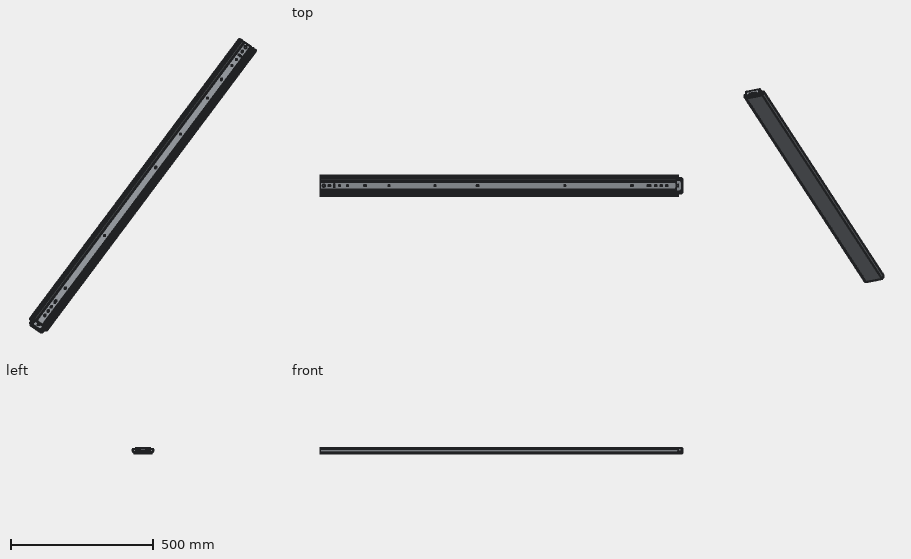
import cadquery as cq
import math


total_length = 1269.04
total_width = 74.0
total_height = 20.54
sheet = 2.2

outer_length = 1253.0
outer_half_width = total_width / 2
outer_bulge_radius = 10.7
outer_bulge_thickness = 3.0
outer_bulge_height = 12.0
outer_bulge_top = 16.0
outer_height = 17.5
outer_shoulder = 34.0
outer_lip_edge = 29.0
outer_groove_bottom = 5.0

middle_length = 1264.0
middle_bottom = 4.0
middle_web_thickness = 2.5
middle_web_top = middle_bottom + middle_web_thickness
middle_foot_half_width = 28.0
middle_foot_top = 8.0
middle_wall_foot = 17.5
middle_wall_rim = 23.5
middle_rim_edge = 25.8
middle_waist = 24.5

inner_length = 1245.5
inner_half_width = 15.0
inner_bottom = 10.0
inner_top = 18.5
inner_bend_radius = 2.5
inner_lip_edge = 9.5

hole_diameter = 5.2
large_hole_diameter = 9.4
large_hole_position = 12.6
cross_slot_position = 49.0
cross_slot_length = 12.0
cross_slot_width = 3.5
slot_length = 8.0
long_slot_length = 12.0
long_slot_position = 1151.0
round_hole_positions = [68.0, 95.0, 241.0, 402.0, 856.0]
slot_positions = [32.0, 157.0, 551.0, 1091.0, 1174.5, 1193.5, 1213.0]

web_hole_diameter = 8.0
web_hole_position = 1249.5

cap_half_width = 26.0
cap_chamfer = 3.0
cap_insert_start = 1246.0
cap_insert_top = 18.0
cap_floor_top = 10.4
cap_opening_half_width = 19.8
cap_opening_end = 1265.6
cap_opening_radius = 10.0


def extrude_profile(half_profile, length):
    """Mirror a half profile, drawn on the +Y side, and extrude it along X."""
    half = half_profile.close().extrude(length)
    return half.union(half.mirror("XZ")).clean()


def block(x_range, y_range, z_range):
    """Box given by its lower and upper limit along each axis."""
    sizes = [high - low for low, high in (x_range, y_range, z_range)]
    corner = (x_range[0], y_range[0], z_range[0])
    return cq.Workplane("XY").box(*sizes, centered=False).translate(corner)


def bulge_point(radius, height):
    """Point at a given height on an arc about the centre of the outer rail's bulge."""
    centre = outer_half_width - outer_bulge_radius
    return (centre + math.sqrt(radius**2 - (height - outer_bulge_height) ** 2), height)


def make_outer_rail():
    inner_radius = outer_bulge_radius - outer_bulge_thickness
    lip_bottom = outer_height - sheet
    outside_start = bulge_point(outer_bulge_radius, sheet)
    outside_end = bulge_point(outer_bulge_radius, outer_bulge_top)
    inside_start = bulge_point(inner_radius, lip_bottom)
    inside_end = bulge_point(inner_radius, outer_groove_bottom)
    half_profile = (
        cq.Workplane("YZ")
        .lineTo(outside_start[0], 0)
        .lineTo(*outside_start)
        .threePointArc(bulge_point(outer_bulge_radius, outer_bulge_height), outside_end)
        .lineTo(outer_shoulder, outer_height)
        .lineTo(outer_lip_edge, outer_height)
        .lineTo(outer_lip_edge, lip_bottom)
        .lineTo(*inside_start)
        .threePointArc(bulge_point(inner_radius, outer_bulge_height), inside_end)
        .lineTo(inside_end[0], sheet)
        .lineTo(0, sheet)
    )
    return extrude_profile(half_profile, outer_length)


def make_web_hole():
    return (
        cq.Workplane("XY")
        .center(web_hole_position, 0)
        .circle(web_hole_diameter / 2)
        .extrude(total_height)
    )


def make_intermediate_rail():
    half_profile = (
        cq.Workplane("YZ")
        .moveTo(0, middle_bottom)
        .lineTo(middle_foot_half_width, middle_bottom)
        .lineTo(middle_foot_half_width, middle_foot_top)
        .lineTo(middle_waist, middle_foot_top)
        .lineTo(middle_rim_edge, total_height)
        .lineTo(middle_wall_rim, total_height)
        .lineTo(middle_wall_foot, middle_web_top)
        .lineTo(0, middle_web_top)
    )
    return extrude_profile(half_profile, middle_length).cut(make_web_hole())


def make_inner_rail_holes():
    points = [(x, 0) for x in round_hole_positions]
    slot_points = [(x, 0) for x in slot_positions]
    web_plane = cq.Workplane("XY").workplane(offset=inner_top - sheet)
    holes = web_plane.pushPoints(points).circle(hole_diameter / 2).extrude(sheet)
    slots = web_plane.pushPoints(slot_points).slot2D(slot_length, hole_diameter).extrude(sheet)
    long_slot = (
        web_plane.center(long_slot_position, 0)
        .slot2D(long_slot_length, hole_diameter)
        .extrude(sheet)
    )
    cross_slot = (
        web_plane.center(cross_slot_position, 0)
        .slot2D(cross_slot_length, cross_slot_width, 90)
        .extrude(sheet)
    )
    large_hole = (
        web_plane.center(large_hole_position, 0)
        .circle(large_hole_diameter / 2)
        .extrude(sheet)
    )
    return holes.union(slots).union(long_slot).union(cross_slot).union(large_hole)


def make_inner_rail():
    half_profile = (
        cq.Workplane("YZ")
        .moveTo(0, inner_top)
        .lineTo(inner_half_width - inner_bend_radius, inner_top)
        .radiusArc((inner_half_width, inner_top - inner_bend_radius), inner_bend_radius)
        .lineTo(inner_half_width, inner_bottom)
        .lineTo(inner_lip_edge, inner_bottom)
        .lineTo(inner_lip_edge, inner_bottom + sheet)
        .lineTo(inner_half_width - sheet, inner_bottom + sheet)
        .lineTo(inner_half_width - sheet, inner_top - sheet)
        .lineTo(0, inner_top - sheet)
    )
    return extrude_profile(half_profile, inner_length).cut(make_inner_rail_holes())


def make_end_cap(intermediate_rail):
    """End plate with a base and a U-shaped insert that fit around the intermediate rail."""
    cap_y = (-cap_half_width, cap_half_width)
    plate = block((middle_length, total_length), cap_y, (0, total_height))
    plate = plate.faces(">X").edges().chamfer(cap_chamfer)
    base = block((outer_length, middle_length), cap_y, (0, middle_bottom))

    insert_y = (-middle_wall_rim, middle_wall_rim)
    insert = block((cap_insert_start, middle_length), insert_y, (middle_web_top, cap_insert_top))
    insert = insert.cut(intermediate_rail).cut(make_web_hole())

    opening = block(
        (cap_insert_start, cap_opening_end),
        (-cap_opening_half_width, cap_opening_half_width),
        (cap_floor_top, total_height),
    )
    opening = opening.edges("|Z and >X").fillet(cap_opening_radius)
    return plate.union(base).union(insert).cut(opening)


outer_rail = make_outer_rail()
intermediate_rail = make_intermediate_rail()
inner_rail = make_inner_rail()
end_cap = make_end_cap(intermediate_rail)

result = cq.Compound.makeCompound(
    [outer_rail.val(), intermediate_rail.val(), inner_rail.val(), end_cap.val()]
)